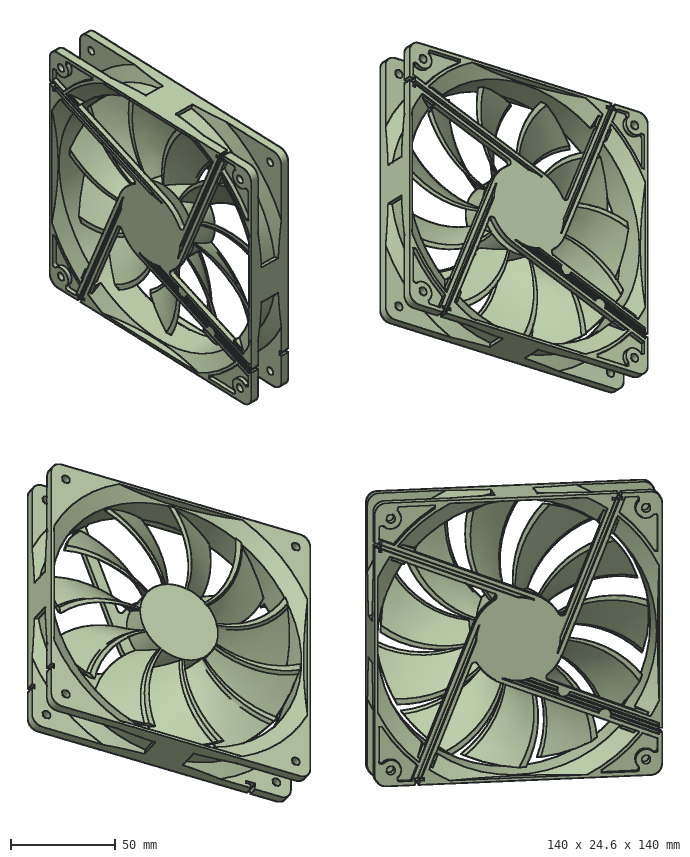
import cadquery as cq
import math

SIDE = 140.0
DEPTH = 24.6
CORNER_R = 5.6
FLANGE_T = 4.6
FRONT = -DEPTH / 2
BACK = DEPTH / 2
FLANGE_INNER = BACK - FLANGE_T

BORE_R = 68.0
THROAT_R = 67.6
DUCT_OUTER_R = 68.9
DUCT_FRONT = -4.8
DUCT_BACK = 5.0
FLARE_OUTER_R = 76.9
MOUTH_R = 76.2
MOUTH_DEPTH = 4.3
MOUTH_HALF = 68.5
PAD_WIDTH = 20.7

HOLE_POS = 62.2
HOLE_R = 2.1
BOSS_R = 5.0
BOSS_NECK = 3.4
POCKET_OUTER = 67.9
POCKET_END = 40.5
POCKET_ARC_R = 77.8
POCKET_DEPTH = 2.4
POCKET_FILLET = 1.1

PLATE_R = 23.0
PLATEAU_R = 20.5
STATOR_T = 3.0
STRUT_ANGLE = 21.9
STRUT_OUTER = 23.0
STRUT_W = 6.0
CABLE_STRUT_W = 9.0
CABLE_QUARTER = 2
STRUT_REACH = 84.0
ROOT_FILLET = 1.7
GROOVE_OFFSET = 19.9
GROOVE_W = 1.8
GROOVE_DEPTH = 1.7
END_SLOT_W = 1.3
END_SLOT_L = 4.9
END_SLOT_OUTER = 67.9
END_SLOT_Z = 48.3
GUSSET_SIDE = 1.4
GUSSET_STEP = 0.8

CHANNEL_INNER = 15.8
CHANNEL_OUTER = 20.9
CHANNEL_END = 68.5
WIRES = 3
RIB_W = 0.4
TAB_R = 3.1
TABS = ((30.2, 16.1), (53.6, 20.7))
EXIT_TOP = -46.9
EXIT_BOTTOM = -49.0

BLADES = 11
TIP_R = 65.8
HUB_R = 21.0
IMPELLER_FRONT = -3.5
IMPELLER_BACK = 10.5
BLADE_TWIST = 21.5
NOSE_TWIST = 1.5
NOSE_T = 1.7
BLADE_BAND = 3.0
EDGE_ROOT = (19.6, -10.3)
EDGE_MID = (43.4, -6.8)
EDGE_TIP = (TIP_R, 3.6)


def plane_at(y):
    """Workplane across the fan axis at depth y, with local axes X and Z."""
    return cq.Workplane("XZ", origin=(0, y, 0))


def cylinder(radius, y0, y1):
    return plane_at(y1).circle(radius).extrude(y1 - y0)


def cone(points):
    """Solid of revolution about Y from (radius, y) points."""
    return cq.Workplane("XY").polyline(points).close().revolve(360, (0, 0, 0), (0, 1, 0))


def block(x0, x1, z0, z1, y0, y1):
    return cq.Workplane("XY").box(x1 - x0, y1 - y0, z1 - z0, centered=False).translate((x0, y0, z0))


def turned(shape, quarter):
    """Shape turned clockwise about the fan axis by quarter turns."""
    return shape.rotate((0, 0, 0), (0, 1, 0), 90 * quarter)


def strut_bar(s0, s1, inner, outer, y0, y1):
    """Bar along the upper-left strut: s runs along it, inner and outer are distances from the axis."""
    return block(s0, s1, inner, outer, y0, y1).rotate((0, 0, 0), (0, 1, 0), STRUT_ANGLE)


def strut_width(quarter):
    return CABLE_STRUT_W if quarter == CABLE_QUARTER else STRUT_W


def make_shell():
    square = plane_at(BACK).rect(SIDE, SIDE).extrude(DEPTH).edges("|Y").fillet(CORNER_R)
    flange_ring = block(-SIDE, SIDE, -SIDE, SIDE, -FLANGE_INNER, FLANGE_INNER)
    flanges = square.cut(flange_ring)
    duct = cone([
        (0, -FLANGE_INNER), (FLARE_OUTER_R, -FLANGE_INNER), (DUCT_OUTER_R, DUCT_FRONT),
        (DUCT_OUTER_R, DUCT_BACK), (FLARE_OUTER_R, FLANGE_INNER), (0, FLANGE_INNER),
    ]).intersect(square)
    half_pad = PAD_WIDTH / 2
    pad = block(-half_pad, half_pad, -SIDE / 2, SIDE / 2, -FLANGE_INNER, FLANGE_INNER)
    return flanges.union(duct).union(pad).union(turned(pad, 1))


def make_corner_pocket():
    """Pocket in the upper-left front corner, around the boss of the screw hole."""
    floor = FRONT + POCKET_DEPTH
    pocket = block(-POCKET_OUTER, -POCKET_END, POCKET_END, POCKET_OUTER, FRONT, floor)
    pocket = pocket.cut(cylinder(POCKET_ARC_R, FRONT, floor))
    neck = HOLE_POS - BOSS_NECK
    pocket = pocket.cut(block(-SIDE / 2, -neck, neck, SIDE / 2, FRONT, floor))
    for corner in ((-POCKET_OUTER, neck), (-neck, POCKET_OUTER)):
        pocket = pocket.edges(cq.selectors.NearestToPointSelector((corner[0], (FRONT + floor) / 2, corner[1])))
        pocket = pocket.fillet(POCKET_FILLET)
    boss = cylinder(BOSS_R, FRONT, floor).translate((-HOLE_POS, 0, HOLE_POS))
    beyond_strut = strut_bar(-2 * SIDE, 2 * SIDE, -SIDE, STRUT_OUTER, FRONT, floor)
    return pocket.cut(boss).cut(beyond_strut)


def make_stator():
    """Stator plate with its four tangent struts."""
    stator_back = FRONT + STATOR_T
    stator = cylinder(PLATE_R, FRONT, stator_back)
    for quarter in range(4):
        inner = STRUT_OUTER - strut_width(quarter)
        bar = strut_bar(-STRUT_REACH, 0, inner, STRUT_OUTER, FRONT, stator_back)
        stator = stator.union(turned(bar, quarter))
    for quarter in range(4):
        inner = STRUT_OUTER - strut_width(quarter)
        corner = cq.Vector(-math.sqrt(PLATE_R**2 - inner**2), (FRONT + stator_back) / 2, inner)
        turn = cq.Location((0, 0, 0), (0, 1, 0), STRUT_ANGLE + 90 * quarter)
        corner = cq.Vertex.makeVertex(*corner.toTuple()).moved(turn)
        root = stator.edges("|Y").edges(cq.selectors.NearestToPointSelector(corner.toTuple()))
        stator = root.fillet(ROOT_FILLET)
    return stator


def make_mouth():
    """Conical inlet on the front, cut off square; it narrows past the bore so that the bore trims it."""
    taper = (MOUTH_R - BORE_R) / MOUTH_DEPTH
    mouth = cone([(0, FRONT), (MOUTH_R, FRONT), (0, FRONT + MOUTH_R / taper)])
    limit = plane_at(BACK).rect(2 * MOUTH_HALF, 2 * MOUTH_HALF).extrude(DEPTH)
    core = cylinder((BORE_R + PLATE_R) / 2, FRONT, BACK)
    return mouth.intersect(limit).cut(core)


def cut_air_passage(frame):
    """Open the duct, leaving the stator, its struts and the ledges that carry the struts."""
    stator = make_stator()
    front_mouth = make_mouth()
    back_mouth = front_mouth.mirror("XZ")
    for quarter in range(4):
        inner = STRUT_OUTER - strut_width(quarter)
        strut = strut_bar(-STRUT_REACH, 0, inner, STRUT_OUTER, FRONT, 0)
        ledge = strut_bar(
            -STRUT_REACH, 0, inner - GUSSET_SIDE, STRUT_OUTER + GUSSET_SIDE, FRONT + GUSSET_STEP, 0
        )
        front_mouth = front_mouth.cut(turned(strut, quarter)).cut(turned(ledge, quarter))
    bore = cone([
        (0, FRONT), (BORE_R, FRONT), (BORE_R, FRONT + MOUTH_DEPTH),
        (THROAT_R, BACK - MOUTH_DEPTH), (THROAT_R, BACK), (0, BACK),
    ]).cut(stator)
    return frame.cut(back_mouth).cut(front_mouth).cut(bore)


def make_strut_groove():
    """Groove along a plain strut, with its cross slot and the slit out through the flange edge."""
    floor = FRONT + GROOVE_DEPTH
    flange_back = FRONT + FLANGE_T
    inner = GROOVE_OFFSET - GROOVE_W / 2
    outer = GROOVE_OFFSET + GROOVE_W / 2
    groove = strut_bar(-STRUT_REACH, 0, inner, outer, FRONT, floor).cut(cylinder(PLATEAU_R, FRONT, floor))
    slot_inner = END_SLOT_OUTER - END_SLOT_W
    slot_z = END_SLOT_Z - END_SLOT_L / 2
    slot = block(-END_SLOT_OUTER, -slot_inner, slot_z, slot_z + END_SLOT_L, FRONT, flange_back)
    slit = strut_bar(-STRUT_REACH, 0, inner, outer, FRONT, flange_back)
    slit = slit.intersect(block(-SIDE, -slot_inner, -SIDE, SIDE, FRONT, flange_back))
    return groove.union(slot).union(slit)


def make_cable_channel():
    """Wide channel of the cable strut: parallel wire grooves, interrupted by two retaining tabs."""
    floor = FRONT + GROOVE_DEPTH
    channel = strut_bar(0, STRUT_REACH, -CHANNEL_OUTER, -CHANNEL_INNER, FRONT, floor)
    pitch = (CHANNEL_OUTER - CHANNEL_INNER + RIB_W) / WIRES
    for rib in range(1, WIRES):
        rib_top = -CHANNEL_INNER - rib * pitch + RIB_W
        channel = channel.cut(strut_bar(0, STRUT_REACH, rib_top - RIB_W, rib_top, FRONT, floor))
    for along, offset in TABS:
        tab = cylinder(TAB_R, FRONT, floor).translate((along, 0, -offset))
        channel = channel.cut(tab.rotate((0, 0, 0), (0, 1, 0), STRUT_ANGLE))
    channel = channel.cut(cylinder(PLATEAU_R, FRONT, floor))
    return channel.intersect(block(-SIDE, CHANNEL_END, -SIDE, 0, FRONT, floor))


def make_frame():
    frame = cut_air_passage(make_shell())
    pocket = make_corner_pocket()
    groove = make_strut_groove()
    for quarter in range(4):
        hole = cylinder(HOLE_R, FRONT, BACK).translate((-HOLE_POS, 0, HOLE_POS))
        frame = frame.cut(turned(hole, quarter)).cut(turned(pocket, quarter))
        if quarter != CABLE_QUARTER:
            frame = frame.cut(turned(groove, quarter))
    cable_exit = block(CHANNEL_END, SIDE / 2, EXIT_BOTTOM, EXIT_TOP, FRONT, BACK)
    return frame.cut(make_cable_channel()).cut(cable_exit)


def polar(edge_point, shift):
    radius, angle = edge_point
    turn = math.radians(angle + shift)
    return (-radius * math.cos(turn), radius * math.sin(turn))


def blade_slice(y0, y1, shift, twist):
    """Stretch of a blade from y0 to y1: the curved band at y1, turned by shift, twists by twist to y0."""
    far = shift + BLADE_BAND
    band = (
        plane_at(y1)
        .moveTo(*polar(EDGE_ROOT, shift))
        .threePointArc(polar(EDGE_MID, shift), polar(EDGE_TIP, shift))
        .threePointArc(polar(EDGE_TIP, shift + BLADE_BAND / 2), polar(EDGE_TIP, far))
        .threePointArc(polar(EDGE_MID, far), polar(EDGE_ROOT, far))
        .close()
    )
    return band.twistExtrude(y1 - y0, twist)


def make_blade():
    nose_y = IMPELLER_BACK - NOSE_T
    body = blade_slice(IMPELLER_FRONT, nose_y, BLADE_TWIST, BLADE_TWIST)
    nose = blade_slice(nose_y, IMPELLER_BACK, BLADE_TWIST + NOSE_TWIST, NOSE_TWIST)
    return body.union(nose)


def make_impeller():
    impeller = cylinder(HUB_R, IMPELLER_FRONT, IMPELLER_BACK)
    blade = make_blade()
    for index in range(BLADES):
        impeller = impeller.union(blade.rotate((0, 0, 0), (0, 1, 0), 360 * index / BLADES))
    return impeller


frame = make_frame()
impeller = make_impeller()
result = cq.Compound.makeCompound([frame.val(), impeller.val()])